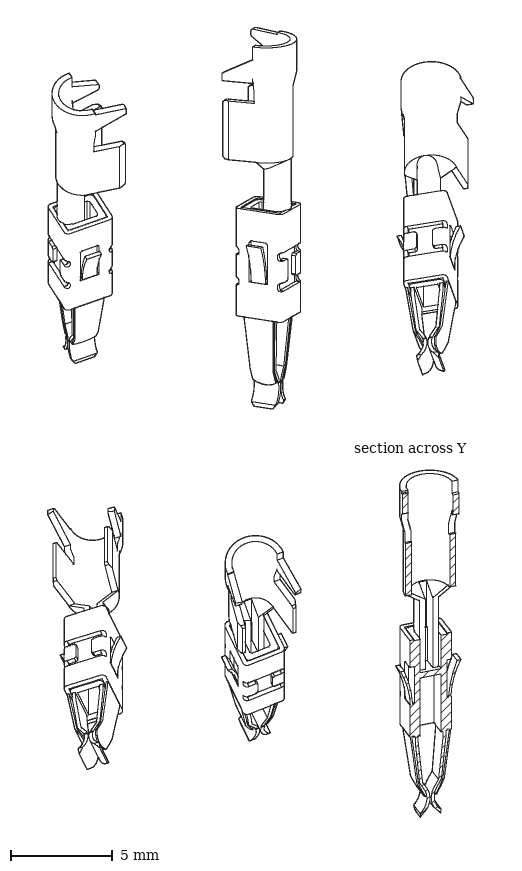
import cadquery as cq
import math

total_height = 18.84
stock = 0.33

wire_radius = 1.32
grip_radius = 1.495
grip_bottom = 17.18
neck_bottom = 16.45
barrel_bottom = 12.85

wing_top = 15.88
wing_lean = 10.0
wing_reach = 1.675
wing_bevel_start = 1.30
wing_bevel_depth = 0.18
wing_corner = 0.12

finger_lean = 9.5
finger_reach = 1.61
finger_low = 16.95
finger_high = 18.74
finger_root_height = 1.21
finger_tip_height = 0.36
finger_tip_round = 0.15

stem_half_width = 0.50
stem_open_y = -0.11
stem_floor = 0.37
channel_half_width = 0.20
funnel_slope = 1.43

sleeve_half_width = 1.105
sleeve_length_y = 2.60
sleeve_center_y = -0.115
sleeve_bottom = 4.72
sleeve_top = 10.27
sleeve_wall = 0.23
box_corner = 0.22
body_offset_z = 0.06
body_wall = stock
body_floor_top = 8.30
spring_inset = 0.02
spring_root_x = sleeve_half_width - spring_inset

groove_height = 0.43
groove_depth = 0.24
groove_round = 0.20
groove_levels = (6.29, 7.85)
flap_edge = 0.40
flap_corner = 0.10
window_width = 1.02
window_bottom = 6.57
window_top = 8.70
window_corner = 0.10

lance_width = 0.80
lance_thickness = 0.15
lance_mid_x = 1.20
lance_mid_z = 7.45
lance_tip_x = 1.61
lance_tip_z = 8.58
lance_tip_span = 0.22

arm_root_outer_x, arm_root_inner_x, arm_root_z = 0.82, 0.64, 4.30
arm_waist_outer_x, arm_waist_inner_x, arm_waist_z = 0.59, 0.41, 1.98
curve_top_outer_x, curve_top_inner_x, curve_top_z = 0.36, 0.17, 1.57
curve_mid_outer_x, curve_mid_inner_x, curve_mid_z = 0.21, 0.02, 1.00
curve_end_outer_x, curve_end_outer_z = 0.47, 0.31
curve_end_inner_x, curve_end_inner_z = 0.18, 0.40
tip_outer_x, tip_outer_z = 0.56, 0.23
tip_end_x = 0.54

spring_root_inner_x = 0.98
spring_waist_outer_x, spring_waist_inner_x = 0.74, 0.63
spring_bend_outer_x, spring_bend_inner_x, spring_bend_z = 0.57, 0.48, 1.59
spring_end_outer_x, spring_end_inner_x = 0.32, 0.25

arm_root_width = 1.60
arm_waist_width = 1.27
contact_width = 1.37
contact_top = 1.30
tip_width = 1.04
tip_chamfer_height = 0.27
spring_end_z = 1.12
spring_end_side_z = 1.33

body_half_width = sleeve_half_width - sleeve_wall
body_length_y = sleeve_length_y - 2 * sleeve_wall
body_bottom = sleeve_bottom - body_offset_z
body_top = sleeve_top - body_offset_z
sleeve_front_y = sleeve_center_y - sleeve_length_y / 2


def block(x_range, y_range, z_range):
    size = [high - low for low, high in (x_range, y_range, z_range)]
    return cq.Workplane("XY").box(*size, centered=False).translate((x_range[0], y_range[0], z_range[0]))


def prism_xy(points, bottom, top):
    return cq.Workplane("XY").workplane(offset=bottom).polyline(points).close().extrude(top - bottom)


def prism_yz(points, x_low, x_high):
    return cq.Workplane("YZ").workplane(offset=x_low).polyline(points).close().extrude(x_high - x_low)


def column(half_width, length_y, bottom, top):
    """Rectangular column centred on the box axis."""
    return (
        cq.Workplane("XY")
        .workplane(offset=bottom)
        .center(0, sleeve_center_y)
        .rect(2 * half_width, length_y)
        .extrude(top - bottom)
    )


def mirror_x(shape):
    return shape.mirror("YZ")


def make_trough():
    """Half shells of revolution: insulation barrel, neck and conductor barrel."""
    outside = [
        (grip_radius, total_height),
        (grip_radius, grip_bottom),
        (wire_radius, neck_bottom),
        (wire_radius, barrel_bottom),
    ]
    inside = [(radius - stock, z) for radius, z in reversed(outside)]
    return cq.Workplane("XZ").polyline(outside + inside).close().revolve(180, (0, 0), (0, -1))


def make_wing():
    """Conductor wing on the +X side, bevelled on the outside of its end."""
    def outer_x(y):
        return wire_radius + y * math.tan(math.radians(wing_lean))

    section = [
        (wire_radius - stock, 0),
        (wire_radius, 0),
        (outer_x(wing_bevel_start), wing_bevel_start),
        (outer_x(wing_reach) - wing_bevel_depth, wing_reach),
        (outer_x(wing_reach) - stock, wing_reach),
    ]
    wing = prism_xy(section, barrel_bottom, wing_top)
    return wing.faces(">Y").edges("<Z or >Z").chamfer(wing_corner)


def make_finger(flipped):
    """Tapered insulation finger on the +X side; the flipped one hangs from the top."""
    def level(height):
        return finger_high - height if flipped else finger_low + height

    lean_x = finger_reach * math.tan(math.radians(finger_lean))
    section = [
        (grip_radius - stock, 0),
        (grip_radius, 0),
        (grip_radius + lean_x, finger_reach - stock * math.sin(math.radians(finger_lean))),
        (grip_radius + lean_x - stock, finger_reach),
    ]
    sheet = prism_xy(section, finger_low, total_height)
    side = [
        (0, level(0)),
        (finger_reach, level(0)),
        (finger_reach, level(finger_tip_height)),
        (0, level(finger_root_height)),
    ]
    outline = prism_yz(side, 0, 2 * grip_radius).faces(">Y").edges("|X").fillet(finger_tip_round)
    return sheet.intersect(outline)


def make_stem_and_funnel():
    """U-section stem with a rounded floor, opening upward into a conical funnel."""
    bottom_z = body_floor_top
    round_y = stem_half_width - wire_radius
    stem = (
        cq.Workplane("XY")
        .workplane(offset=bottom_z)
        .moveTo(-stem_half_width, stem_open_y)
        .lineTo(-stem_half_width, round_y)
        .threePointArc((0, -wire_radius), (stem_half_width, round_y))
        .lineTo(stem_half_width, stem_open_y)
        .close()
        .extrude(barrel_bottom - bottom_z)
    )
    open_side = block((-grip_radius, grip_radius), (stem_open_y, grip_radius), (bottom_z, barrel_bottom))
    channel = block(
        (-channel_half_width, channel_half_width),
        (stem_floor - wire_radius, stem_open_y),
        (bottom_z, barrel_bottom),
    )
    stem = stem.union(make_cone(wire_radius)).cut(open_side)
    return stem.cut(channel).cut(make_cone(wire_radius - stock))


def make_cone(top_radius):
    """Cone pointing down from the lower end of the conductor barrel."""
    tip_z = barrel_bottom - top_radius / funnel_slope
    profile = [(0, barrel_bottom), (top_radius, barrel_bottom), (0, tip_z)]
    return cq.Workplane("XZ").polyline(profile).close().revolve(360, (0, 0), (0, 1))


def make_groove(low_z):
    """Cross groove on the -Y face, rounded at the bottom where it crosses the box corners."""
    groove = block(
        (-sleeve_half_width, sleeve_half_width),
        (sleeve_front_y, sleeve_front_y + groove_depth),
        (low_z, low_z + groove_height),
    )
    return groove.faces(">Y").edges("|X").fillet(groove_round)


def make_sleeve():
    """Hollow box with grooves and flaps on its Y faces and a lance window on each X face."""
    sleeve = column(sleeve_half_width, sleeve_length_y, sleeve_bottom, sleeve_top)
    sleeve = sleeve.edges("|Z").fillet(box_corner)
    sleeve = sleeve.cut(column(body_half_width, body_length_y, sleeve_bottom, sleeve_top))

    depth_range = (sleeve_front_y, sleeve_front_y + groove_depth)
    gap_bottom = groove_levels[0] + groove_height
    cuts = block((-flap_edge, flap_edge), depth_range, (gap_bottom, groove_levels[1]))
    for low_z in groove_levels:
        square_part = block((-body_half_width, body_half_width), depth_range, (low_z, low_z + groove_height))
        cuts = cuts.union(make_groove(low_z)).union(square_part)
    for side in (-1, 1):
        for level, inward in ((gap_bottom, 1), (groove_levels[1], -1)):
            edge = side * flap_edge
            corner = [(edge, level), (edge + side * flap_corner, level), (edge, level + inward * flap_corner)]
            bevel = cq.Workplane("XZ", origin=(0, sleeve_front_y, 0)).polyline(corner).close()
            cuts = cuts.union(bevel.extrude(-groove_depth))
    back_cuts = cuts.mirror("XZ", (0, sleeve_center_y, 0))

    window = block(
        (-sleeve_half_width, sleeve_half_width),
        (sleeve_center_y - window_width / 2, sleeve_center_y + window_width / 2),
        (window_bottom, window_top),
    )
    window = window.edges("|X and >Z").chamfer(window_corner)
    return sleeve.cut(cuts).cut(back_cuts).cut(window)


def make_body():
    """Contact body filling the sleeve, hollow above and below a cross wall."""
    body = column(body_half_width, body_length_y, body_bottom, body_top)
    body = body.edges("|Z").fillet(box_corner)
    cavity_half = body_half_width - body_wall
    cavity_y = body_length_y - 2 * body_wall
    pocket = column(cavity_half, cavity_y, body_floor_top, body_top).edges("|Z").chamfer(window_corner)
    socket = column(cavity_half, cavity_y, body_bottom, body_floor_top - body_wall)
    return body.cut(pocket).cut(socket)


def make_lance():
    """Curved lance on the +X side, rising from the lower edge of its window."""
    lance_root_inner_x = spring_root_x - lance_thickness
    lance_mid_inner_x = lance_mid_x - lance_thickness
    profile = (
        cq.Workplane("XZ")
        .moveTo(lance_root_inner_x, window_bottom)
        .lineTo(spring_root_x, window_bottom)
        .threePointArc((lance_mid_x, lance_mid_z), (lance_tip_x, lance_tip_z))
        .lineTo(lance_tip_x - lance_tip_span, lance_tip_z)
        .threePointArc((lance_mid_inner_x, lance_mid_z), (lance_root_inner_x, window_bottom))
        .close()
    )
    return profile.extrude(lance_width / 2, both=True).translate((0, sleeve_center_y, 0))


def arm_face_outline(half_levels):
    """Symmetric outline in YZ from (full width, Z) pairs listed downward."""
    left = [(sleeve_center_y - width / 2, z) for width, z in half_levels]
    right = [(sleeve_center_y + width / 2, z) for width, z in reversed(half_levels)]
    return left + right


def make_contact_arm():
    """Contact arm on the +X side: bends in to the contact point and flares to its tip."""
    profile = (
        cq.Workplane("XZ")
        .moveTo(arm_root_outer_x, body_bottom + body_wall)
        .lineTo(arm_root_outer_x, arm_root_z)
        .lineTo(arm_waist_outer_x, arm_waist_z)
        .lineTo(curve_top_outer_x, curve_top_z)
        .threePointArc((curve_mid_outer_x, curve_mid_z), (curve_end_outer_x, curve_end_outer_z))
        .lineTo(tip_outer_x, tip_outer_z)
        .lineTo(tip_end_x, 0)
        .lineTo(curve_end_inner_x, curve_end_inner_z)
        .threePointArc((curve_mid_inner_x, curve_mid_z), (curve_top_inner_x, curve_top_z))
        .lineTo(arm_waist_inner_x, arm_waist_z)
        .lineTo(arm_root_inner_x, arm_root_z)
        .lineTo(arm_root_inner_x, body_bottom + body_wall)
        .close()
    )
    arm = profile.extrude(sleeve_length_y, both=True)
    outline = arm_face_outline([
        (arm_root_width, body_bottom + body_wall),
        (arm_root_width, body_bottom),
        (arm_waist_width, arm_waist_z),
        (arm_waist_width, contact_top),
        (contact_width, contact_top),
        (contact_width, tip_chamfer_height),
        (tip_width, 0),
    ])
    return arm.intersect(prism_yz(outline, 0, sleeve_half_width))


def make_cover_spring():
    """Thin spring of the sleeve that backs the contact arm on the +X side."""
    profile = (
        cq.Workplane("XZ")
        .moveTo(spring_root_x, sleeve_bottom + sleeve_wall)
        .lineTo(spring_root_x, sleeve_bottom)
        .lineTo(spring_waist_outer_x, arm_waist_z)
        .lineTo(spring_bend_outer_x, spring_bend_z)
        .lineTo(spring_end_outer_x, spring_end_z)
        .lineTo(spring_end_inner_x, spring_end_z)
        .lineTo(spring_bend_inner_x, spring_bend_z)
        .lineTo(spring_waist_inner_x, arm_waist_z)
        .lineTo(spring_root_inner_x, sleeve_bottom)
        .lineTo(spring_root_inner_x, sleeve_bottom + sleeve_wall)
        .close()
    )
    spring = profile.extrude(sleeve_length_y, both=True)
    half_root = arm_root_width / 2
    half_waist = arm_waist_width / 2
    outline = (
        cq.Workplane("YZ")
        .moveTo(-half_root, sleeve_bottom + sleeve_wall)
        .lineTo(-half_root, sleeve_bottom)
        .lineTo(-half_waist, arm_waist_z)
        .lineTo(-half_waist, spring_end_side_z)
        .threePointArc((0, spring_end_z), (half_waist, spring_end_side_z))
        .lineTo(half_waist, arm_waist_z)
        .lineTo(half_root, sleeve_bottom)
        .lineTo(half_root, sleeve_bottom + sleeve_wall)
        .close()
        .extrude(sleeve_half_width)
        .translate((0, sleeve_center_y, 0))
    )
    return spring.intersect(outline)


result = make_sleeve().union(make_body())
for side_part in (make_lance(), make_contact_arm(), make_cover_spring(), make_wing()):
    result = result.union(side_part).union(mirror_x(side_part))
result = result.union(make_stem_and_funnel()).union(make_trough())
result = result.union(make_finger(flipped=True)).union(mirror_x(make_finger(flipped=False)))